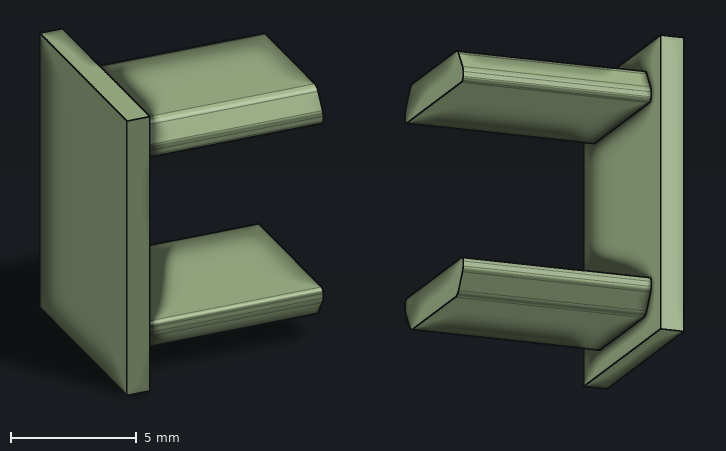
import cadquery as cq

plate_width = 8.6
plate_height = 12.2
plate_thickness = 1.0

prong_inset = 1.0
prong_length = 8.0
prong_thickness = 1.46
prong_width = 6.5

bevel_width = 0.62
bevel_height = 0.94
bevel_radius = 0.4
inner_radius = 0.2


def make_upper_prong():
    """Bar with beveled outer corners, blended bevels and rounded inner corners."""
    half_width = prong_width / 2
    outer_z = plate_height / 2 - prong_inset
    inner_z = outer_z - prong_thickness
    shoulder_z = outer_z - bevel_height
    profile = [
        (-half_width, inner_z),
        (half_width, inner_z),
        (half_width, shoulder_z),
        (half_width - bevel_width, outer_z),
        (-half_width + bevel_width, outer_z),
        (-half_width, shoulder_z),
    ]
    prong = cq.Workplane("XZ").polyline(profile).close().extrude(-prong_length)
    prong = prong.edges("|Y and <Z").fillet(inner_radius)

    bevel_corners = cq.selectors.BoxSelector(
        (-plate_width, 0, inner_z + 2 * inner_radius),
        (plate_width, prong_length, plate_height),
    )
    prong = prong.edges("|Y").edges(bevel_corners).fillet(bevel_radius)
    return prong


plate = cq.Workplane("XY").box(
    plate_width, plate_thickness, plate_height, centered=(True, False, True)
).translate((0, -plate_thickness, 0))

upper_prong = make_upper_prong()
lower_prong = upper_prong.mirror("XY")

result = plate.union(upper_prong).union(lower_prong)